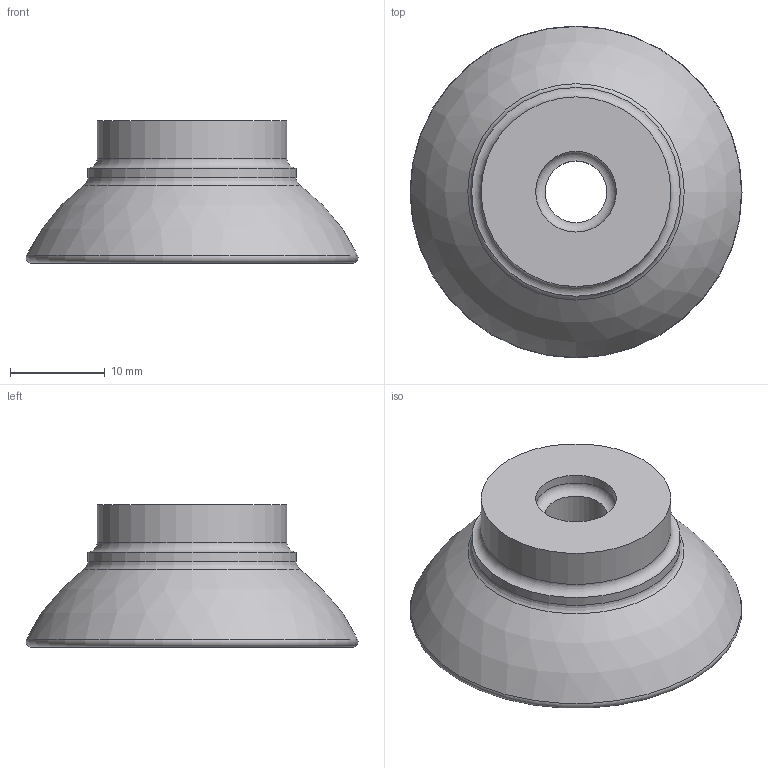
import cadquery as cq
import math

total_height = 15.0
rim_radius = 35.0 / 2

dome_radius = 19.27
rim_round = 0.6

collar_radius = 22.0 / 2
collar_top = 10.0
collar_fillet = 1.0
neck_radius = 20.0 / 2
neck_fillet = collar_radius - neck_radius

bore_radius = 6.5 / 2
counterbore_radius = 8.5 / 2
counterbore_depth = 2.0
counterbore_fillet = counterbore_radius - bore_radius


def point_on_arc(center, radius, angle):
    """Point (r, z) on a circle; the angle is measured from the outward radial direction."""
    return (
        center[0] + radius * math.cos(angle),
        center[1] + radius * math.sin(angle),
    )


def make_body():
    """Revolve the outside profile: rounded rim, spherical dome, filleted collar and neck."""
    rim_center = (rim_radius - rim_round, rim_round)
    dome_drop = math.sqrt((dome_radius - rim_round) ** 2 - rim_center[0] ** 2)
    dome_center = (0, rim_round - dome_drop)
    rim_angle = math.atan2(dome_drop, rim_center[0])

    fillet_r = collar_radius + collar_fillet
    fillet_rise = math.sqrt((dome_radius + collar_fillet) ** 2 - fillet_r ** 2)
    fillet_center = (fillet_r, dome_center[1] + fillet_rise)
    collar_angle = math.atan2(fillet_rise, fillet_r)

    neck_fillet_center = (collar_radius, collar_top + neck_fillet)

    rim_mid_angle = (rim_angle - math.pi / 2) / 2
    dome_mid_angle = (rim_angle + collar_angle) / 2
    fillet_mid_angle = math.pi + collar_angle / 2
    neck_mid_angle = 1.25 * math.pi

    profile = (
        cq.Workplane("XZ")
        .lineTo(rim_center[0], 0)
        .threePointArc(
            point_on_arc(rim_center, rim_round, rim_mid_angle),
            point_on_arc(dome_center, dome_radius, rim_angle),
        )
        .threePointArc(
            point_on_arc(dome_center, dome_radius, dome_mid_angle),
            point_on_arc(dome_center, dome_radius, collar_angle),
        )
        .threePointArc(
            point_on_arc(fillet_center, collar_fillet, fillet_mid_angle),
            (collar_radius, fillet_center[1]),
        )
        .lineTo(collar_radius, collar_top)
        .threePointArc(
            point_on_arc(neck_fillet_center, neck_fillet, neck_mid_angle),
            (neck_radius, neck_fillet_center[1]),
        )
        .lineTo(neck_radius, total_height)
        .lineTo(0, total_height)
        .close()
    )
    return profile.revolve(360, (0, 0), (0, 1))


def make_bore():
    """Revolve the bore: a through hole under a counterbore with a rounded floor corner."""
    floor = total_height - counterbore_depth
    corner_center = (counterbore_radius - counterbore_fillet, floor + counterbore_fillet)
    profile = (
        cq.Workplane("XZ")
        .lineTo(bore_radius, 0)
        .lineTo(bore_radius, floor)
        .threePointArc(
            point_on_arc(corner_center, counterbore_fillet, -math.pi / 4),
            (counterbore_radius, corner_center[1]),
        )
        .lineTo(counterbore_radius, total_height)
        .lineTo(0, total_height)
        .close()
    )
    return profile.revolve(360, (0, 0), (0, 1))


result = make_body().cut(make_bore())